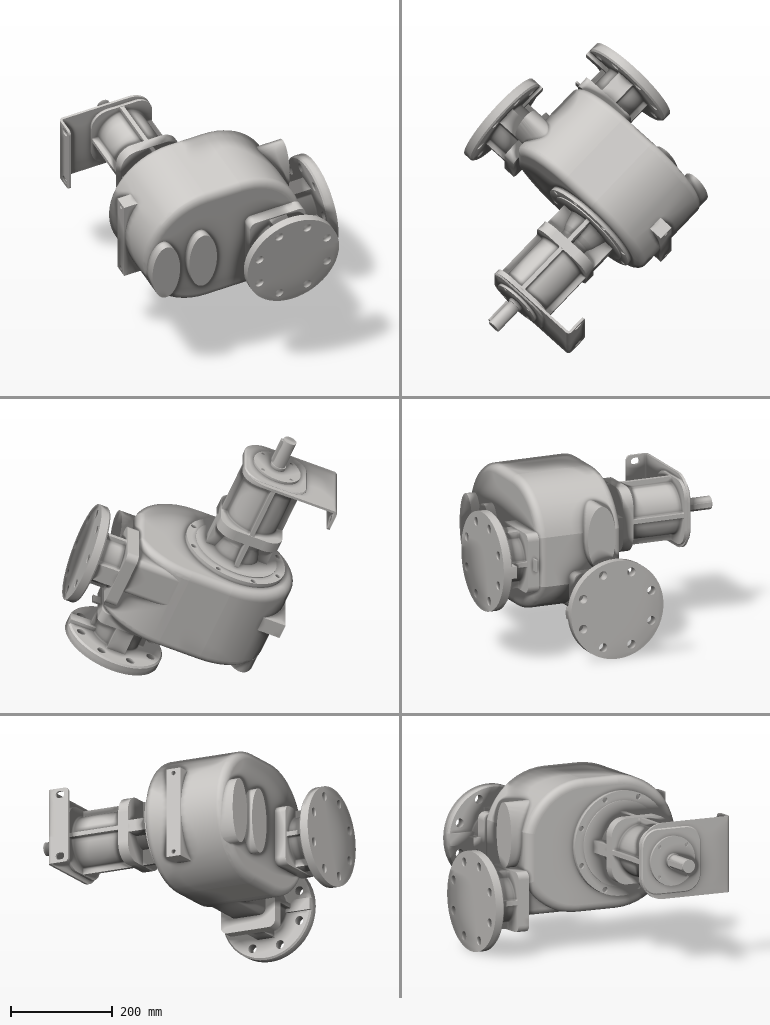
import cadquery as cq
import math


CLEARANCE = 0.3

SHAFT_R = 13.5
SHOULDER_R = 15.5
SHOULDER_X = 58.5
KEY_X0, KEY_X1 = 4.0, 54.5
KEY_WIDTH = 10.0
KEY_TOP = 17.5

CAP_R = 49.5
CAP_X = 65.0
CAP_SCREW_R = 4.0
CAP_SCREW_DEPTH = 2.0
CAP_SCREW_OFFSET = 30.0
SQUARE_HALF = 66.0
SQUARE_CORNER_R = 34.5
COVER_X = 71.0
COVER_CHAMFER = 2.0
REAR_FLANGE_X1 = 85.0
BARREL_R = 52.0
MID_FLANGE_X0, MID_FLANGE_X1 = 195.0, 217.0
RIB_REACH = 64.5
RIB_THICKNESS = 8.5
HOUSING_FILLET_R = 3.0
SIDE_WEB_THICKNESS = 24.0
NOSE_R = 33.5
NOSE_CONE_X0, NOSE_CONE_X1 = 235.0, 245.5
NOSE_CONE_R = 38.5
NOSE_END_R = 47.0

SHEET = 5.0
BRACKET_X = 73.5
BRACKET_HALF_HEIGHT = 76.0
BRACKET_END_Y = 67.0
BRACKET_CORNER_R = 49.0
BRACKET_BORE_R = 50.0
FOOT_Y = -132.5
FOOT_X1 = 120.0
FOOT_CORNER_R = 8.5
BEND_R = 8.0
SLOT_LENGTH, SLOT_WIDTH = 19.0, 14.0
SLOT_X, SLOT_Z = 101.5, 63.0

CASING_X0, CASING_X1 = 284.5, 463.5
CASING_R = 132.5
CASING_EDGE_R = 15.5
CASING_BACK_Y = 205.0
FRONT_ARC_Y = 2.0
TOP_BACK_ARC_Y = 77.5
BOTTOM_BACK_ARC_Y = 89.0
WEAR_PLATE_X = 275.0
WEAR_PLATE_R = 105.0
WEAR_STEP_X = 272.5
WEAR_STEP_R = 86.0
WEAR_BOLT_CIRCLE_R = 97.0
WEAR_BOLT_R = 5.5
WEAR_BOLT_DEPTH = 5.5
WEAR_BOLTS = 8

BAR_X0, BAR_X1 = 339.0, 369.5
BAR_Z0, BAR_Z1 = -99.0, 80.5
BAR_DEPTH = 50.0
BAR_HOLE_R = 4.5
BAR_HOLE_DEPTH = 11.0
BAR_HOLE_INSET = 9.5

OVAL_HALF_WIDTH, OVAL_HALF_LENGTH = 30.0, 65.0
OVAL_END_X = 482.0
OVAL_DEPTH = 30.0
OVAL_Z = -13.5
OVAL_YS = (-15.0, -95.5)
BACK_OVAL_END_Y = 228.5
BACK_OVAL_Z = 27.0
BACK_OVAL_DEPTH = 67.0

PAD_HALF = 60.0
PAD_CORNER_R = 14.0
PAD_LENGTH = 24.0
PORT_NECK_R = 47.0
PORT_RIB_REACH = 57.5
PORT_RIB_THIN, PORT_RIB_WIDE = 9.0, 37.0
PORT_FILLET_R = 3.0
PORT_FLANGE_R = 100.0
PORT_FLANGE_THICKNESS = 20.0
PORT_FLANGE_CHAMFER = 3.5
PORT_BOLT_CIRCLE_R = 80.0
PORT_BOLT_R = 9.0
PORT_BOLTS = 8
LUG_WIDTH = 24.0
DISCHARGE_LUG, SUCTION_LUG = 5.5, 8.5
DISCHARGE_X, DISCHARGE_Z = 338.5, -99.0
DISCHARGE_END_Y = 301.0
SUCTION_Y, SUCTION_Z = 145.0, -14.5
SUCTION_END_X = 557.5
PASSAGE_HALF_WIDTH = 39.0
PASSAGE_Z0, PASSAGE_Z1 = -131.5, -77.0
PASSAGE_Y0 = 89.0
PASSAGE_EDGE_R = 11.5
TAB_X0, TAB_X1 = 473.5, 477.0
TAB_END_Y = 221.0
TAB_WIDTH = 24.0


def yz_plane(x):
    """Workplane at the given X, drawn in (Y, Z) and extruding toward +X."""
    return cq.Workplane("YZ", origin=(x, 0, 0))


def box(x0, x1, y0, y1, z0, z1):
    size = (x1 - x0, y1 - y0, z1 - z0)
    return cq.Workplane("XY").box(*size, centered=False).translate((x0, y0, z0))


def disc(x0, x1, radius):
    return yz_plane(x0).circle(radius).extrude(x1 - x0)


def fillet_rib_roots(solid, axis, start, end, reach, radius):
    """Round the inner corners between a ribbed barrel, its ribs and the plates at both ends.

    The barrel runs along the given axis from start to end, and its ribs stand out to reach.
    The outer edges of the ribs stay sharp.
    """

    def zone(limit):
        low = {"X": (start, -limit, -limit), "Z": (-limit, -limit, start)}[axis]
        high = {"X": (end, limit, limit), "Z": (limit, limit, end)}[axis]
        margin = cq.Vector(CLEARANCE, CLEARANCE, CLEARANCE)
        return (cq.Vector(*low) - margin).toTuple(), (cq.Vector(*high) + margin).toTuple()

    whole = cq.selectors.BoxSelector(*zone(reach), boundingbox=True)
    centred = cq.selectors.BoxSelector(*zone(reach - 2 * CLEARANCE))
    return solid.edges(whole).edges(centred).fillet(radius)


def square_plate(x0, x1):
    side = 2 * SQUARE_HALF
    return yz_plane(x0).rect(side, side).extrude(x1 - x0).edges("|X").fillet(SQUARE_CORNER_R)


def make_shaft():
    shaft = disc(0, SHOULDER_X, SHAFT_R).union(disc(SHOULDER_X, CAP_X, SHOULDER_R))
    key = box(KEY_X0, KEY_X1, 0, KEY_TOP, -KEY_WIDTH / 2, KEY_WIDTH / 2)
    return shaft.union(key)


def cross_ribs(x0, x1, side_thickness):
    """Four ribs around the shaft axis; the two side ribs have their own thickness."""
    reach = RIB_REACH
    upright = box(x0, x1, -RIB_THICKNESS / 2, RIB_THICKNESS / 2, -reach, reach)
    side = box(x0, x1, -reach, reach, -side_thickness / 2, side_thickness / 2)
    return upright.union(side)


def make_bearing_housing():
    cap = disc(CAP_X, COVER_X, CAP_R)
    offset = 2 * CAP_SCREW_OFFSET
    screws = yz_plane(CAP_X).rect(offset, offset, forConstruction=True).vertices()
    cap = cap.cut(screws.circle(CAP_SCREW_R).extrude(CAP_SCREW_DEPTH))
    cover = square_plate(COVER_X, BRACKET_X).faces("<X").edges().chamfer(COVER_CHAMFER)
    spigot = disc(BRACKET_X, BRACKET_X + SHEET, BRACKET_BORE_R)
    rear_flange = square_plate(BRACKET_X + SHEET, REAR_FLANGE_X1)
    barrel = disc(REAR_FLANGE_X1, MID_FLANGE_X0, BARREL_R)
    mid_flange = square_plate(MID_FLANGE_X0, MID_FLANGE_X1)
    nose = (
        cq.Workplane("XY")
        .moveTo(MID_FLANGE_X1, 0)
        .lineTo(MID_FLANGE_X1, NOSE_R)
        .lineTo(NOSE_CONE_X0, NOSE_R)
        .lineTo(NOSE_CONE_X1, NOSE_CONE_R)
        .lineTo(WEAR_STEP_X, NOSE_END_R)
        .lineTo(WEAR_STEP_X, 0)
        .close()
        .revolve(360, (0, 0, 0), (1, 0, 0))
    )
    rear = rear_flange.union(barrel).union(mid_flange)
    rear = rear.union(cross_ribs(REAR_FLANGE_X1, MID_FLANGE_X0, RIB_THICKNESS))
    rear = fillet_rib_roots(rear, "X", REAR_FLANGE_X1, MID_FLANGE_X0, RIB_REACH, HOUSING_FILLET_R)
    front = nose.union(cross_ribs(MID_FLANGE_X1, WEAR_STEP_X, SIDE_WEB_THICKNESS))
    return rear.union(cap).union(cover).union(spigot).union(front)


def arc_rise(y, arc_y):
    """Height above the shaft axis of a casing arc centred at arc_y."""
    return math.sqrt(CASING_R**2 - (y - arc_y) ** 2)


def make_casing():
    top_corner_z = arc_rise(CASING_BACK_Y, TOP_BACK_ARC_Y)
    bottom_corner_z = -arc_rise(CASING_BACK_Y, BOTTOM_BACK_ARC_Y)
    diagonal = CASING_R * math.sqrt(0.5)
    top_mid_y = TOP_BACK_ARC_Y + diagonal
    bottom_mid_y = BOTTOM_BACK_ARC_Y + diagonal
    return (
        yz_plane(CASING_X0)
        .moveTo(FRONT_ARC_Y, CASING_R)
        .lineTo(TOP_BACK_ARC_Y, CASING_R)
        .threePointArc((top_mid_y, diagonal), (CASING_BACK_Y, top_corner_z))
        .lineTo(CASING_BACK_Y, bottom_corner_z)
        .threePointArc((bottom_mid_y, -diagonal), (BOTTOM_BACK_ARC_Y, -CASING_R))
        .lineTo(FRONT_ARC_Y, -CASING_R)
        .threePointArc((FRONT_ARC_Y - CASING_R, 0), (FRONT_ARC_Y, CASING_R))
        .close()
        .extrude(CASING_X1 - CASING_X0)
        .faces("<X or >X")
        .edges()
        .fillet(CASING_EDGE_R)
    )


def make_wear_plate():
    plate = disc(WEAR_PLATE_X, CASING_X0, WEAR_PLATE_R)
    first_angle = 180 / WEAR_BOLTS
    bolts = yz_plane(WEAR_PLATE_X).polarArray(WEAR_BOLT_CIRCLE_R, first_angle, 360, WEAR_BOLTS)
    plate = plate.cut(bolts.circle(WEAR_BOLT_R).extrude(WEAR_BOLT_DEPTH))
    return plate.union(disc(WEAR_STEP_X, WEAR_PLATE_X, WEAR_STEP_R))


def make_foot_bar():
    bar = box(BAR_X0, BAR_X1, FOOT_Y, FOOT_Y + BAR_DEPTH, BAR_Z0, BAR_Z1)
    centre_x = (BAR_X0 + BAR_X1) / 2
    holes = (
        cq.Workplane("XZ", origin=(0, FOOT_Y, 0))
        .pushPoints([(centre_x, BAR_Z0 + BAR_HOLE_INSET), (centre_x, BAR_Z1 - BAR_HOLE_INSET)])
        .circle(BAR_HOLE_R)
        .extrude(-BAR_HOLE_DEPTH)
    )
    return bar.cut(holes)


def make_side_ovals():
    start_x = OVAL_END_X - OVAL_DEPTH
    centres = [(y, OVAL_Z) for y in OVAL_YS]
    outline = yz_plane(start_x).pushPoints(centres).ellipse(OVAL_HALF_WIDTH, OVAL_HALF_LENGTH)
    return outline.extrude(OVAL_DEPTH)


def make_back_oval():
    outline = cq.Workplane("XZ", origin=(DISCHARGE_X, BACK_OVAL_END_Y, BACK_OVAL_Z))
    return outline.ellipse(OVAL_HALF_WIDTH, OVAL_HALF_LENGTH).extrude(BACK_OVAL_DEPTH)


def level(height):
    """Workplane across a port's own axis, measured from the face of its pad."""
    return cq.Workplane("XY", origin=(0, 0, height))


def make_port_flange(start, end):
    flange = level(start).circle(PORT_FLANGE_R).extrude(end - start)
    flange = flange.faces("<Z").edges().chamfer(PORT_FLANGE_CHAMFER)
    bolts = level(start).polarArray(PORT_BOLT_CIRCLE_R, 180 / PORT_BOLTS, 360, PORT_BOLTS)
    return flange.cut(bolts.circle(PORT_BOLT_R).extrude(end - start))


def make_port_lug(flange_start, depth):
    """Bar behind the flange, reaching from the neck to the flange rim on one side."""
    height = depth + PORT_FLANGE_CHAMFER
    bar = level(flange_start - depth).center(PORT_FLANGE_R / 2, 0)
    bar = bar.rect(PORT_FLANGE_R, LUG_WIDTH).extrude(height)
    rim = level(flange_start - depth).circle(PORT_FLANGE_R).extrude(height)
    return bar.intersect(rim)


def make_port(plane, length, lug_depth):
    """Square pad, ribbed neck and bolted flange, standing along the plane's normal."""
    flange_start = length - PORT_FLANGE_THICKNESS
    neck_length = flange_start - PAD_LENGTH
    rib_span = 2 * PORT_RIB_REACH
    pad = level(0).rect(2 * PAD_HALF, 2 * PAD_HALF).extrude(PAD_LENGTH)
    pad = pad.edges("|Z").fillet(PAD_CORNER_R)
    neck = level(PAD_LENGTH).circle(PORT_NECK_R).extrude(neck_length)
    thin_ribs = level(PAD_LENGTH).rect(rib_span, PORT_RIB_THIN).extrude(neck_length)
    wide_ribs = level(PAD_LENGTH).rect(PORT_RIB_WIDE, rib_span).extrude(neck_length)
    port = pad.union(neck).union(thin_ribs).union(wide_ribs)
    port = port.union(make_port_flange(flange_start, length))
    port = fillet_rib_roots(port, "Z", PAD_LENGTH, flange_start, PORT_RIB_REACH, PORT_FILLET_R)
    port = port.union(make_port_lug(flange_start, lug_depth))
    return cq.Workplane(port.val().moved(cq.Location(plane)))


def make_discharge_port():
    origin = (DISCHARGE_X, CASING_BACK_Y, DISCHARGE_Z)
    plane = cq.Plane(origin=origin, xDir=(1, 0, 0), normal=(0, 1, 0))
    port = make_port(plane, DISCHARGE_END_Y - CASING_BACK_Y, DISCHARGE_LUG)
    x0 = DISCHARGE_X - PASSAGE_HALF_WIDTH
    x1 = DISCHARGE_X + PASSAGE_HALF_WIDTH
    passage = box(x0, x1, PASSAGE_Y0, CASING_BACK_Y, PASSAGE_Z0, PASSAGE_Z1)
    passage = passage.faces("<Z").edges("|Y").fillet(PASSAGE_EDGE_R)
    return port.union(passage)


def make_suction_port():
    origin = (CASING_X1, SUCTION_Y, SUCTION_Z)
    plane = cq.Plane(origin=origin, xDir=(0, 1, 0), normal=(1, 0, 0))
    port = make_port(plane, SUCTION_END_X - CASING_X1, SUCTION_LUG)
    z0 = SUCTION_Z - TAB_WIDTH / 2
    tab = box(TAB_X0, TAB_X1, SUCTION_Y, TAB_END_Y, z0, z0 + TAB_WIDTH)
    return port.union(tab)


def make_pump():
    pump = make_casing().union(make_wear_plate()).union(make_bearing_housing())
    pump = pump.union(make_shaft()).union(make_foot_bar())
    pump = pump.union(make_side_ovals()).union(make_back_oval())
    return pump.union(make_discharge_port()).union(make_suction_port())


def make_bracket():
    bottom = -BRACKET_HALF_HEIGHT
    top = BRACKET_HALF_HEIGHT
    upright = box(BRACKET_X, BRACKET_X + SHEET, FOOT_Y, BRACKET_END_Y, bottom, top)
    upright = upright.faces(">Y").edges("|X").fillet(BRACKET_CORNER_R)
    foot = box(BRACKET_X, FOOT_X1, FOOT_Y, FOOT_Y + SHEET, bottom, top)
    foot = foot.faces(">X").edges("|Y").fillet(FOOT_CORNER_R)
    bracket = upright.union(foot)
    bracket = bracket.edges("|Z and <X and <Y").fillet(BEND_R)
    inner_bend = cq.selectors.NearestToPointSelector((BRACKET_X + SHEET, FOOT_Y + SHEET, 0))
    bracket = bracket.edges(inner_bend).fillet(BEND_R - SHEET)
    bore = disc(BRACKET_X, BRACKET_X + SHEET, BRACKET_BORE_R)
    slots = (
        cq.Workplane("XZ", origin=(0, FOOT_Y, 0))
        .pushPoints([(SLOT_X, -SLOT_Z), (SLOT_X, SLOT_Z)])
        .slot2D(SLOT_LENGTH, SLOT_WIDTH)
        .extrude(-SHEET)
    )
    return bracket.cut(bore).cut(slots)


pump = make_pump()
bracket = make_bracket()
result = cq.Compound.makeCompound([pump.solids().val(), bracket.solids().val()])